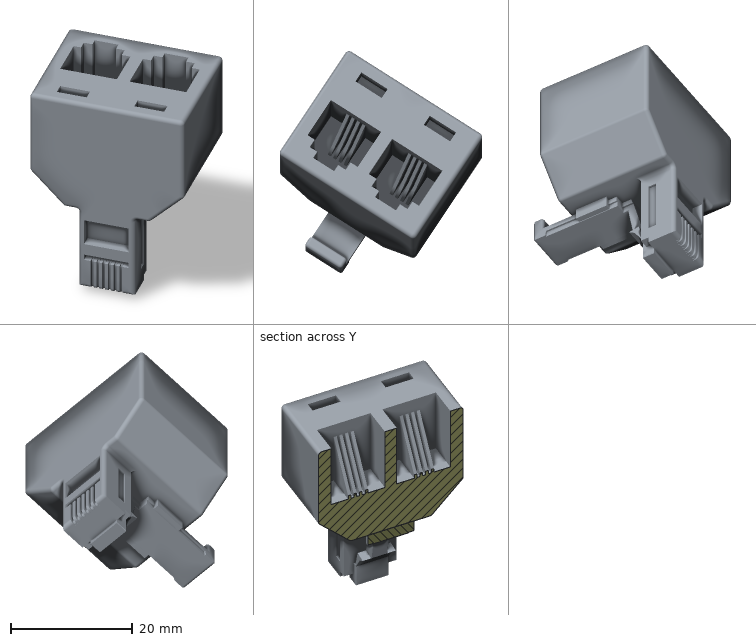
import cadquery as cq


block_width = 26.78
block_depth = 21.08
top_z = 37.25
block_bottom_z = 16.12
block_bottom_half = 7.45
neck_width = 9.7
neck_depth = 6.5
neck_bottom_z = 0.93
edge_radius = 0.7
root_radius = 0.6

foot_front_y = 5.05
seat_top_z = 2.0

side_groove_y = (3.55, 5.05)
side_groove_z = (4.17, 13.63)
side_groove_depth = 0.4

front_pocket_width = 7.8
cable_pocket_z = (9.5, 14.23)
cable_pocket_depth = 1.9
contact_pocket_z = (6.35, 7.4)
contact_count = 6
contact_pitch = 1.0
contact_groove_width = 0.5
contact_depth = 1.1
blade_width = 0.37
blade_recess = 0.5
blade_radius = 0.45

socket_x = 6.05
socket_depth = 11.9
socket_front_y = 8.83
socket_width = 9.85
socket_shoulder_y = 15.9
left_key_shift = -0.1
key_steps = ((7.08, 17.4), (4.1, 18.62))
wire_count = 4
wire_pitch = 1.05
wire_width = 0.55
wire_reach = 5.75
wire_rise = 9.3

slot_x = 6.75
slot_width = 5.18
slot_y = (2.15, 3.95)
slot_depth = 2.98

lever_width = 7.22
lever_top_z = 15.85
lever_split_z = 14.95
lever_bottom_z = 13.95
lever_inset = 0.3
lever_end_y = 28.2
lever_neck_y = 11.95
inset_end_y = (25.65, 25.85)
tab_front_y = 26.25
tab_top_z = 18.4
tab_radius = 0.52
stop_width = 8.55
stop_y = (13.55, 19.45)
stop_bottom_z = 14.08
strap_width = 3.05
barb_width = 6.1
foot_back_y = 7.3
foot_top_z = 4.2
foot_inner_y = 7.15
barb_tip = (9.9, 7.15)
barb_heel = (8.83, 6.45)
barb_end_z = 4.02
ledge_z = 7.5
strap_bend_y = 11.1
strap_top_y = 10.25
blunting = 0.1

margin = 0.05


def box(x_range, y_range, z_range):
    """Box spanning the given coordinate ranges."""
    size = [high - low for low, high in (x_range, y_range, z_range)]
    corner = (x_range[0], y_range[0], z_range[0])
    return cq.Workplane("XY").box(*size, centered=False).translate(corner)


def centred_box(width, y_range, z_range, x=0.0):
    """Box of the given width centred on x."""
    return box((x - width / 2, x + width / 2), y_range, z_range)


def middle(start, end):
    """Midpoint of two (y, z) points."""
    return ((start[0] + end[0]) / 2, (start[1] + end[1]) / 2)


def side_profile(points, width, x=0.0):
    """(y, z) outline extruded along X, centred on x."""
    return cq.Workplane("YZ").polyline(points).close().extrude(width / 2, both=True).translate((x, 0, 0))


def blunt_housing():
    """Block with sloping shoulders above the plug neck, with rounded edges and root."""
    half = block_width / 2
    shoulder_z = block_bottom_z + half - block_bottom_half
    block = (
        cq.Workplane("XZ")
        .polyline([
            (-half, top_z), (half, top_z), (half, shoulder_z), (block_bottom_half, block_bottom_z),
            (-block_bottom_half, block_bottom_z), (-half, shoulder_z),
        ])
        .close()
        .extrude(-block_depth)
    )
    neck = centred_box(neck_width, (0, neck_depth), (neck_bottom_z, top_z))
    shell = block.union(neck)

    reach = neck_width / 2 + root_radius + margin
    back = neck_depth + root_radius + margin
    root = cq.selectors.BoxSelector(
        (-reach, margin, block_bottom_z - margin), (reach, back, block_bottom_z + margin)
    )
    shell = shell.edges(root).fillet(root_radius)

    neck_zone = cq.selectors.BoxSelector(
        (-reach, -margin, 0), (reach, back, block_bottom_z + margin), boundingbox=True
    )
    rounded_edges = shell.edges(cq.selectors.InverseSelector(neck_zone)).add(shell.faces("<Y").edges())
    return rounded_edges.fillet(edge_radius)


def neck_cuts():
    """Latch seat, side grooves and front pockets of the neck."""
    half = neck_width / 2
    cuts = centred_box(neck_width, (foot_front_y, neck_depth), (neck_bottom_z, seat_top_z))
    for wall_x in (-half, half):
        cuts = cuts.union(centred_box(2 * side_groove_depth, side_groove_y, side_groove_z, wall_x))
    cuts = cuts.union(centred_box(front_pocket_width, (0, cable_pocket_depth), cable_pocket_z))
    return cuts.union(centred_box(front_pocket_width, (0, contact_depth), contact_pocket_z))


def row(count, pitch):
    """Centred positions of a row of repeated features."""
    return [(index - (count - 1) / 2) * pitch for index in range(count)]


def cut_contacts(housing):
    """Grooves down the front of the neck, each with a round-ended contact blade set back in it."""
    top = contact_pocket_z[0]
    for x in row(contact_count, contact_pitch):
        groove = centred_box(contact_groove_width, (0, contact_depth), (neck_bottom_z, top), x)
        blade = centred_box(blade_width, (blade_recess, contact_depth), (neck_bottom_z, top), x)
        blade = blade.edges("<Y and |X").fillet(blade_radius)
        housing = housing.cut(groove).union(blade)
    return housing


def socket(x, key_x):
    """Jack socket with a stepped keyway behind it and sloping spring wires left standing inside."""
    floor_z = top_z - socket_depth
    heights = (floor_z, top_z)
    opening = centred_box(socket_width, (socket_front_y, socket_shoulder_y), heights, x)
    for width, back_y in key_steps:
        opening = opening.union(centred_box(width, (socket_front_y, back_y), heights, key_x))
    wire = [
        (socket_front_y, floor_z),
        (socket_front_y + wire_reach, floor_z),
        (socket_front_y, floor_z + wire_rise),
    ]
    for wire_x in row(wire_count, wire_pitch):
        opening = opening.cut(side_profile(wire, wire_width, key_x + wire_x))
    return opening


def make_housing():
    """Splitter housing with its plug neck, two jack sockets and two small slots."""
    housing = cut_contacts(blunt_housing().cut(neck_cuts()))
    housing = housing.cut(socket(-socket_x, -socket_x + left_key_shift))
    housing = housing.cut(socket(socket_x, socket_x))
    for x in (-slot_x, slot_x):
        housing = housing.cut(centred_box(slot_width, slot_y, (top_z - slot_depth, top_z), x))
    return housing


def thumb_tab():
    """Upright tab at the free end of the lever."""
    tab = centred_box(lever_width, (tab_front_y, lever_end_y), (lever_bottom_z, tab_top_z))
    return tab.edges("|Z or >Z or (>Y and <Z)").fillet(tab_radius)


def lever():
    """Flat lever with a narrower lower layer, the thumb tab and the stop under the block."""
    end_y = lever_end_y - tab_radius
    upper = centred_box(lever_width, (lever_neck_y, tab_front_y + tab_radius), (lever_split_z, lever_top_z))
    full_end = side_profile([
        (inset_end_y[0], lever_split_z), (end_y, lever_split_z),
        (end_y, lever_bottom_z), (inset_end_y[1], lever_bottom_z),
    ], lever_width)
    lower = centred_box(
        lever_width - 2 * lever_inset, (lever_neck_y, end_y), (lever_bottom_z, lever_split_z)
    )
    stop = centred_box(stop_width, stop_y, (stop_bottom_z, block_bottom_z))
    return upper.union(lower).union(full_end).union(thumb_tab()).union(stop)


def strap_back_y(z):
    """Y of the straight strap face that looks toward the neck, at height z."""
    slope = (strap_top_y - foot_inner_y) / (lever_top_z - foot_top_z)
    return foot_inner_y + slope * (z - foot_top_z)


def strap():
    """Narrow strap from the lever down to the ledge of the barb, with blunted outer edges."""
    upper = side_profile([
        (lever_neck_y, lever_top_z), (strap_top_y, lever_top_z),
        (strap_back_y(lever_split_z), lever_split_z), (lever_neck_y, lever_split_z),
    ], strap_width + 2 * lever_inset)
    lower = side_profile([
        (lever_neck_y, lever_split_z), (strap_back_y(lever_split_z), lever_split_z),
        (strap_back_y(ledge_z), ledge_z), barb_tip,
        (strap_bend_y, lever_bottom_z), (lever_neck_y, lever_bottom_z),
    ], strap_width)
    bend = (strap_bend_y, lever_bottom_z)
    for side_x in (-strap_width / 2, strap_width / 2):
        for y, z in (middle(barb_tip, bend), middle(bend, (lever_neck_y, lever_bottom_z))):
            lower = lower.edges(cq.selectors.NearestToPointSelector((side_x, y, z))).chamfer(blunting)
    return upper.union(lower)


def barb():
    """Barb wider than the strap, tapering down to the foot."""
    return side_profile([
        (strap_back_y(ledge_z), ledge_z), barb_tip, barb_heel,
        (foot_back_y, barb_end_z), (foot_inner_y, foot_top_z),
    ], barb_width)


def foot():
    """Foot hooked under the back of the neck, with blunted back and bottom edges."""
    hook = side_profile([
        (foot_back_y, barb_end_z), (foot_back_y, 0), (foot_front_y, 0), (foot_front_y, seat_top_z),
        (neck_depth, seat_top_z), (neck_depth, foot_top_z), (foot_inner_y, foot_top_z),
    ], barb_width)
    return hook.edges("(|Z and >Y) or (|Y and <Z)").chamfer(blunting)


def make_latch():
    """Spring latch, touching the housing at the stop and at the foot."""
    return lever().union(strap()).union(barb()).union(foot())


housing = make_housing()
latch = make_latch()
result = cq.Compound.makeCompound([housing.solids().val(), latch.solids().val()])